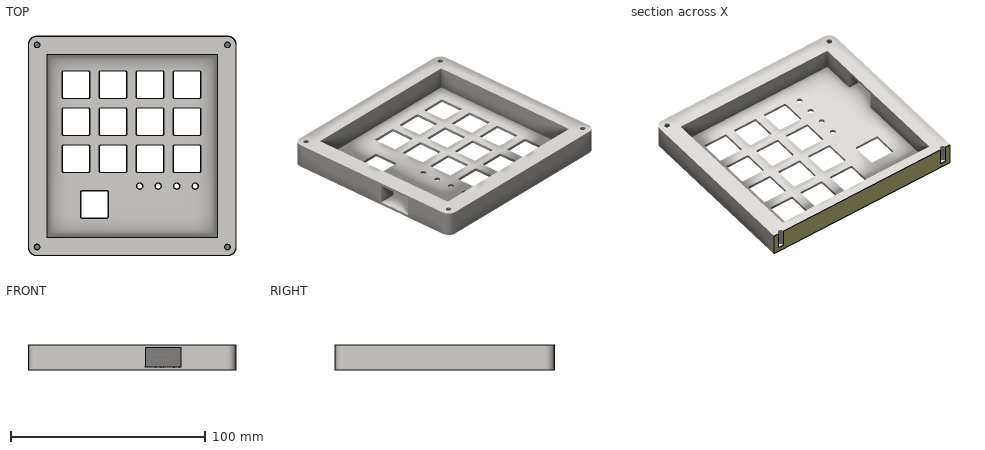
import cadquery as cq

LENGTH_X = 107.0
LENGTH_Y = 113.0
HEIGHT = 13.0
RIM_WIDTH = 9.5
FLOOR_THICKNESS = 1.5
CORNER_RADIUS = 4.5

SCREW_DIAMETER = 2.9
SCREW_DEPTH = 10.0
SCREW_INSET = CORNER_RADIUS

KEY_PITCH = 19.05
KEY_SIZE = 14.0
KEY_CORNER_RADIUS = 0.5
KEY_COLUMNS = 4
KEY_ROWS = 3
FIRST_KEY_X = -28.975
FIRST_KEY_Y = 31.55
SINGLE_KEY_X = FIRST_KEY_X + KEY_PITCH / 2
SINGLE_KEY_DROP = 23.55
LAST_ROW_Y = FIRST_KEY_Y - (KEY_ROWS - 1) * KEY_PITCH

LED_DIAMETER = 3.05
LED_COUNT = 4
LED_PITCH = KEY_PITCH / 2
FIRST_LED_X = 3.85
LED_DROP = 14.1

PORT_CENTER_X = 15.85
PORT_WIDTH = 18.3
PORT_HEIGHT = HEIGHT - 2 * FLOOR_THICKNESS


def make_tray():
    """Rounded block with a sharp-cornered rectangular cavity open at the top."""
    block = (
        cq.Workplane("XY")
        .box(LENGTH_X, LENGTH_Y, HEIGHT, centered=(True, True, False))
        .edges("|Z")
        .fillet(CORNER_RADIUS)
    )
    cavity = (
        cq.Workplane("XY", origin=(0, 0, FLOOR_THICKNESS))
        .rect(LENGTH_X - 2 * RIM_WIDTH, LENGTH_Y - 2 * RIM_WIDTH)
        .extrude(HEIGHT - FLOOR_THICKNESS)
    )
    return block.cut(cavity)


def make_screw_holes():
    """Four blind holes drilled down from the top of the rim."""
    return (
        cq.Workplane("XY", origin=(0, 0, HEIGHT))
        .rect(LENGTH_X - 2 * SCREW_INSET, LENGTH_Y - 2 * SCREW_INSET, forConstruction=True)
        .vertices()
        .circle(SCREW_DIAMETER / 2)
        .extrude(-SCREW_DEPTH)
    )


def make_key_openings():
    """Rounded square openings through the floor."""
    centers = [
        (FIRST_KEY_X + column * KEY_PITCH, FIRST_KEY_Y - row * KEY_PITCH)
        for row in range(KEY_ROWS)
        for column in range(KEY_COLUMNS)
    ]
    centers.append((SINGLE_KEY_X, LAST_ROW_Y - SINGLE_KEY_DROP))
    return (
        cq.Workplane("XY")
        .pushPoints(centers)
        .rect(KEY_SIZE, KEY_SIZE)
        .extrude(FLOOR_THICKNESS)
        .edges("|Z")
        .fillet(KEY_CORNER_RADIUS)
    )


def make_led_holes():
    """Round holes through the floor, in a row along X."""
    centers = [
        (FIRST_LED_X + index * LED_PITCH, LAST_ROW_Y - LED_DROP)
        for index in range(LED_COUNT)
    ]
    return (
        cq.Workplane("XY")
        .pushPoints(centers)
        .circle(LED_DIAMETER / 2)
        .extrude(FLOOR_THICKNESS)
    )


def make_port():
    """Rectangular passage from the -Y face into the cavity."""
    return (
        cq.Workplane("XY", origin=(PORT_CENTER_X, -LENGTH_Y / 2, FLOOR_THICKNESS))
        .box(PORT_WIDTH, RIM_WIDTH, PORT_HEIGHT, centered=(True, False, False))
    )


result = (
    make_tray()
    .cut(make_screw_holes())
    .cut(make_key_openings())
    .cut(make_led_holes())
    .cut(make_port())
)